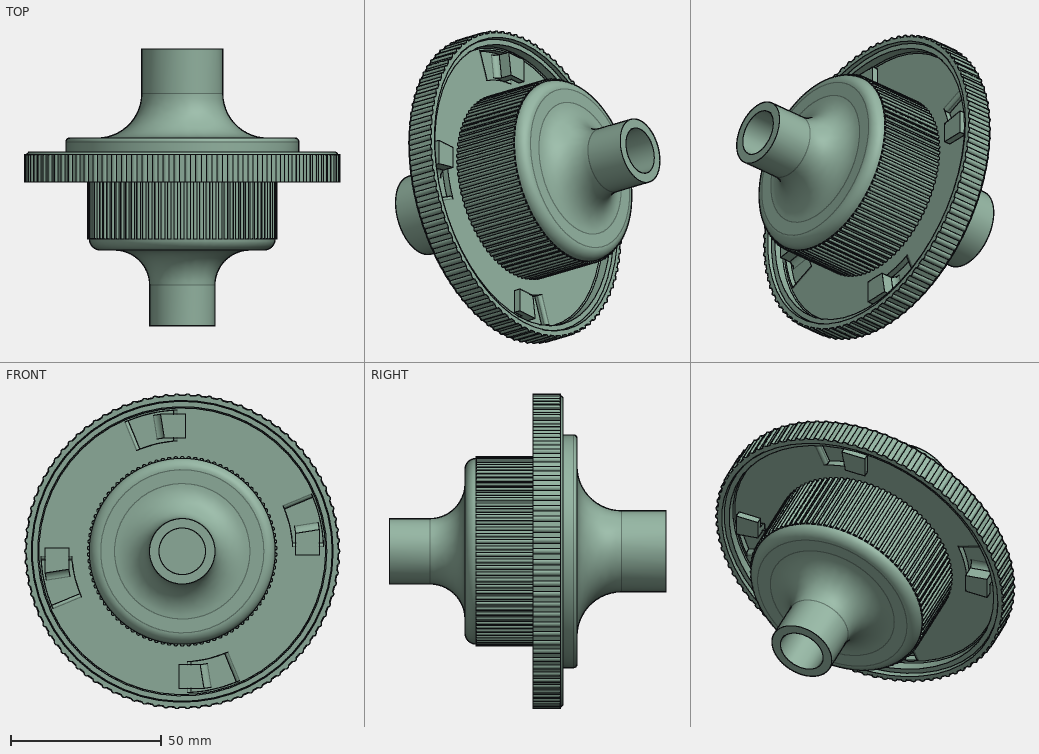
import cadquery as cq
import math


KNURL_COUNT = 90
KNURL_PITCH = 360 / KNURL_COUNT

RING_RADIUS = 52.5
RING_THICKNESS = 10.1
RING_CHAMFER_RADIUS = 52.1
RING_CHAMFER = 0.9
RING_RIDGE_HEIGHT = 0.6
RING_RIDGE_WIDTH = 1.9
STEP_MOUTH_RADIUS = 50.3
STEP_RADIUS = 50.0
STEP_DEPTH = 1.4
RECESS_RADIUS = 48.2
RECESS_DEPTH = 7.1
RECESS_CHAMFER = 0.4
FLANGE_RADIUS = 38.9
FLANGE_TOP = 14.7
FLANGE_FILLET = 1.3
REAR_SPIGOT_RADIUS = 13.5
REAR_FLARE = 14.8
REAR_END = 44.4

DISC_RADIUS = RECESS_RADIUS - RECESS_CHAMFER
DISC_FRONT = 4.9
DISC_THICKNESS = RECESS_DEPTH - DISC_FRONT
KNOB_RADIUS = 31.0
KNOB_RIDGE_HEIGHT = 0.6
KNOB_RIDGE_WIDTH = 1.3
KNURL_END = 18.9
KNOB_FILLET = 3.8
FRONT_SPIGOT_RADIUS = 10.9
FRONT_FLARE = 11.7
FRONT_END = 47.9
BORE_RADIUS = 7.8

HOOK_COUNT = 4
SLOT_INNER_RADIUS = 36.9
SLOT_OUTER_RADIUS = 47.2
SLOT_FAR_ANGLE = 22.5
SLOT_NEAR_X = -2.8
SLOT_END_FILLET = 1.2
HOOK_BOTTOM = 37.8
HOOK_TOP = 45.7
HOOK_TIP_X = 1.2
HOOK_FRONT = 1.7
HOOK_HEAD_THICKNESS = 2.2
HOOK_SLANT = math.radians(9)
HOOK_ROOT_WIDTH = 2.4
HOOK_ROOT_RADIUS = 2.7


def polar(radius, angle):
    """Point at an angle in degrees from +Z, counted towards -X."""
    turn = math.radians(angle)
    return (-radius * math.sin(turn), radius * math.cos(turn))


def radius_point_at_x(radius, x):
    """Upper point of a circle at a given x."""
    return (x, math.sqrt(radius**2 - x**2))


def at_y(y):
    """Workplane facing -Y, with local axes X and Z."""
    return cq.Workplane("XZ", origin=(0, y, 0))


def revolved(profile):
    """Turn a closed (radius, y) profile round the Y axis."""
    return profile.close().revolve(360, (0, 0, 0), (0, 1, 0))


def around_axis(shape, count):
    """Copies of a shape spread evenly round the Y axis."""
    return [shape.rotate((0, 0, 0), (0, 1, 0), i * 360 / count) for i in range(count)]


def knurled_cylinder(root_radius, ridge_height, ridge_width, first_angle, y_front, y_rear):
    """Cylinder whose outline carries evenly spaced rounded ridges."""
    half_width = math.degrees(ridge_width / 2 / root_radius)
    tip_radius = root_radius + ridge_height
    outline = at_y(y_front).moveTo(*polar(root_radius, first_angle - half_width))
    for i in range(KNURL_COUNT):
        middle = first_angle + i * KNURL_PITCH
        tip = polar(tip_radius, middle)
        ridge_end = polar(root_radius, middle + half_width)
        outline = outline.threePointArc(tip, ridge_end)
        land_middle = polar(root_radius, middle + KNURL_PITCH / 2)
        next_start = polar(root_radius, middle + KNURL_PITCH - half_width)
        outline = outline.threePointArc(land_middle, next_start)
    return outline.close().extrude(y_front - y_rear)


def knurled_ring():
    """Ring with rounded ridges and a chamfered rear edge."""
    knurl_end = RING_THICKNESS - RING_CHAMFER
    root_radius = RING_RADIUS - RING_RIDGE_HEIGHT
    ring = knurled_cylinder(
        root_radius, RING_RIDGE_HEIGHT, RING_RIDGE_WIDTH, KNURL_PITCH / 2, 0, knurl_end
    )
    chamfer = revolved(
        cq.Workplane("XY")
        .moveTo(0, knurl_end)
        .lineTo(RING_CHAMFER_RADIUS, knurl_end)
        .lineTo(RING_CHAMFER_RADIUS - RING_CHAMFER, RING_THICKNESS)
        .lineTo(0, RING_THICKNESS)
    )
    return ring.union(chamfer)


def ring_recess():
    """Stepped recess that receives the disc."""
    return revolved(
        cq.Workplane("XY")
        .lineTo(STEP_MOUTH_RADIUS, 0)
        .lineTo(STEP_RADIUS, STEP_DEPTH)
        .lineTo(RECESS_RADIUS, STEP_DEPTH)
        .lineTo(RECESS_RADIUS, DISC_FRONT - RECESS_CHAMFER)
        .lineTo(DISC_RADIUS, DISC_FRONT)
        .lineTo(DISC_RADIUS, RECESS_DEPTH)
        .lineTo(0, RECESS_DEPTH)
    )


def flare_arc(profile, spigot_radius, flare, base_y, direction):
    """Concave quarter round from the flat face at base_y up to the spigot."""
    offset = flare * (1 - math.sqrt(0.5))
    middle = (spigot_radius + offset, base_y + direction * offset)
    return profile.threePointArc(middle, (spigot_radius, base_y + direction * flare))


def rear_hub():
    """Flange and flared spigot behind the ring."""
    profile = (
        cq.Workplane("XY")
        .moveTo(0, RECESS_DEPTH)
        .lineTo(FLANGE_RADIUS, RECESS_DEPTH)
        .lineTo(FLANGE_RADIUS, FLANGE_TOP - FLANGE_FILLET)
        .radiusArc((FLANGE_RADIUS - FLANGE_FILLET, FLANGE_TOP), -FLANGE_FILLET)
        .lineTo(REAR_SPIGOT_RADIUS + REAR_FLARE, FLANGE_TOP)
    )
    profile = flare_arc(profile, REAR_SPIGOT_RADIUS, REAR_FLARE, FLANGE_TOP, 1)
    return revolved(profile.lineTo(REAR_SPIGOT_RADIUS, REAR_END).lineTo(0, REAR_END))


def hook_block(tip_x, y_front, y_rear):
    """Block between the slanted hook face and an upright plane at tip_x."""
    return (
        at_y(y_front)
        .moveTo(tip_x, HOOK_BOTTOM)
        .lineTo(tip_x, HOOK_TOP)
        .lineTo(-HOOK_TOP * math.tan(HOOK_SLANT), HOOK_TOP)
        .lineTo(-HOOK_BOTTOM * math.tan(HOOK_SLANT), HOOK_BOTTOM)
        .close()
        .extrude(y_front - y_rear)
    )


def hook_root():
    """Hollow fillet along the foot of the slanted hook face, tangent to the recess floor."""
    height_on_face = HOOK_ROOT_RADIUS - math.sqrt(HOOK_ROOT_RADIUS**2 - HOOK_ROOT_WIDTH**2)
    face_plane = cq.Plane(
        origin=(-HOOK_BOTTOM * math.tan(HOOK_SLANT), RECESS_DEPTH, HOOK_BOTTOM),
        xDir=(-math.cos(HOOK_SLANT), 0, -math.sin(HOOK_SLANT)),
        normal=(-math.sin(HOOK_SLANT), 0, math.cos(HOOK_SLANT)),
    )
    return (
        cq.Workplane(face_plane)
        .lineTo(HOOK_ROOT_WIDTH, 0)
        .radiusArc((0, height_on_face), HOOK_ROOT_RADIUS)
        .close()
        .extrude((HOOK_TOP - HOOK_BOTTOM) / math.cos(HOOK_SLANT))
    )


def hook():
    """Head in front of the disc, stem through the slot and a filleted root."""
    head_rear = HOOK_FRONT + HOOK_HEAD_THICKNESS
    head = hook_block(HOOK_TIP_X, HOOK_FRONT, head_rear)
    stem = hook_block(SLOT_NEAR_X, head_rear, RECESS_DEPTH)
    return head.union(stem).union(hook_root())


def bayonet_slot():
    """Curved slot through the disc."""
    near_outer = radius_point_at_x(SLOT_OUTER_RADIUS, SLOT_NEAR_X)
    near_inner = radius_point_at_x(SLOT_INNER_RADIUS, SLOT_NEAR_X)
    middle_angle = SLOT_FAR_ANGLE / 2
    return (
        at_y(DISC_FRONT)
        .moveTo(*near_outer)
        .threePointArc(polar(SLOT_OUTER_RADIUS, middle_angle), polar(SLOT_OUTER_RADIUS, SLOT_FAR_ANGLE))
        .lineTo(*polar(SLOT_INNER_RADIUS, SLOT_FAR_ANGLE))
        .threePointArc(polar(SLOT_INNER_RADIUS, middle_angle), near_inner)
        .close()
        .extrude(-DISC_THICKNESS)
    )


def slotted_disc():
    """Disc with the slots cut and the front edges of their ends rounded."""
    disc = at_y(DISC_FRONT).circle(DISC_RADIUS).extrude(-DISC_THICKNESS)
    for slot in around_axis(bayonet_slot(), HOOK_COUNT):
        disc = disc.cut(slot)
    slot_end_edges = disc.faces("<Y").edges("%LINE")
    return slot_end_edges.fillet(SLOT_END_FILLET)


def knob():
    """Knurled grip on the smooth knob body."""
    return knurled_cylinder(
        KNOB_RADIUS, KNOB_RIDGE_HEIGHT, KNOB_RIDGE_WIDTH, 0, -KNURL_END, DISC_FRONT
    )


def front_nose():
    """Rounded knob end, flare and spigot."""
    face_y = -KNURL_END - KNOB_FILLET
    round_offset = KNOB_FILLET * (1 - math.sqrt(0.5))
    round_middle = (KNOB_RADIUS - round_offset, face_y + round_offset)
    profile = (
        cq.Workplane("XY")
        .moveTo(0, -KNURL_END)
        .lineTo(KNOB_RADIUS, -KNURL_END)
        .threePointArc(round_middle, (KNOB_RADIUS - KNOB_FILLET, face_y))
        .lineTo(FRONT_SPIGOT_RADIUS + FRONT_FLARE, face_y)
    )
    profile = flare_arc(profile, FRONT_SPIGOT_RADIUS, FRONT_FLARE, face_y, -1)
    return revolved(profile.lineTo(FRONT_SPIGOT_RADIUS, -FRONT_END).lineTo(0, -FRONT_END))


def make_rear_housing():
    """Ring, flange, rear spigot and hooks as one solid."""
    housing = knurled_ring().cut(ring_recess()).union(rear_hub())
    for bayonet_hook in around_axis(hook(), HOOK_COUNT):
        housing = housing.union(bayonet_hook)
    return housing


def make_front_housing():
    """Slotted disc, knob and front spigot as one solid, bored right through."""
    housing = slotted_disc().union(knob()).union(front_nose())
    bore = at_y(-FRONT_END).circle(BORE_RADIUS).extrude(-FRONT_END - RECESS_DEPTH)
    return housing.cut(bore)


rear_housing = make_rear_housing()
front_housing = make_front_housing()

result = cq.Compound.makeCompound([rear_housing.val(), front_housing.val()])